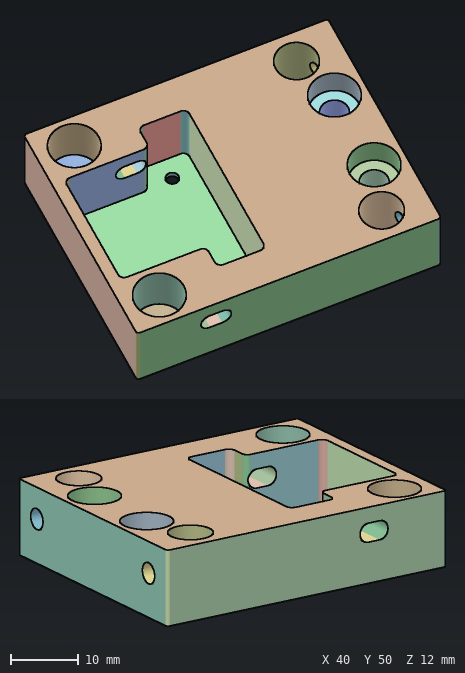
import cadquery as cq
import math

width = 40
length = 50
height = 12
corner_radius = 0.5

corner_hole_x = 15
through_diameter = 6.8
through_y = 17.5

cross_diameter = 3.3
cross_z = 7

screw_x = 7
screw_y = 20
screw_diameter = 4.5
counterbore_diameter = 8
counterbore_depth = 4.5

blind_diameter = 8
blind_y = -19
blind_depth = 8
drill_point_angle = 118

pocket_depth = 11
pocket_back_y = -1
pocket_step_y = -9
pocket_front_y = -23
pocket_wide = 28
pocket_narrow = 20
pocket_radius = 1
pin_x = 10.5
pin_y = -5
pin_diameter = 2.05

slot_length = 5
slot_height = 3
slot_y = -12
slot_z = 8


def mirrored(x, y):
    """Two places symmetric about the middle of the block width."""
    return [(-x, y), (x, y)]


def make_block():
    block = cq.Workplane("XY").box(width, length, height, centered=(True, True, False))
    return block.edges("|Z").fillet(corner_radius)


def through_holes(x, y, diameter):
    return cq.Workplane("XY").pushPoints(mirrored(x, y)).circle(diameter / 2).extrude(height)


def cross_holes():
    back_face = cq.Workplane("XZ", origin=(0, length / 2, 0))
    circles = back_face.pushPoints(mirrored(corner_hole_x, cross_z)).circle(cross_diameter / 2)
    return circles.extrude(length / 2 - through_y)


def counterbores():
    floor = cq.Workplane("XY").workplane(offset=height - counterbore_depth)
    circles = floor.pushPoints(mirrored(screw_x, screw_y)).circle(counterbore_diameter / 2)
    return circles.extrude(counterbore_depth)


def blind_hole(x, y):
    radius = blind_diameter / 2
    cone_depth = radius / math.tan(math.radians(drill_point_angle / 2))
    shoulder_z = height - blind_depth
    profile = (
        cq.Workplane("XZ")
        .moveTo(0, height)
        .lineTo(radius, height)
        .lineTo(radius, shoulder_z)
        .lineTo(0, shoulder_z - cone_depth)
        .close()
    )
    return profile.revolve(360, (0, 0, 0), (0, 1, 0)).translate((x, y, 0))


def pocket():
    wide = pocket_wide / 2
    narrow = pocket_narrow / 2
    outline = [
        (-wide, pocket_back_y),
        (wide, pocket_back_y),
        (wide, pocket_step_y),
        (narrow, pocket_step_y),
        (narrow, pocket_front_y),
        (-narrow, pocket_front_y),
        (-narrow, pocket_step_y),
        (-wide, pocket_step_y),
    ]
    floor = cq.Workplane("XY").workplane(offset=height - pocket_depth)
    solid = floor.polyline(outline).close().extrude(pocket_depth)
    return solid.edges("|Z").fillet(pocket_radius)


def side_slot():
    side = cq.Workplane("YZ").center(slot_y, slot_z)
    return side.slot2D(slot_length, slot_height).extrude(width / 2, both=True)


result = (
    make_block()
    .cut(through_holes(corner_hole_x, through_y, through_diameter))
    .cut(cross_holes())
    .cut(through_holes(screw_x, screw_y, screw_diameter))
    .cut(counterbores())
    .cut(pocket())
    .cut(through_holes(pin_x, pin_y, pin_diameter))
    .cut(side_slot())
)
for hole_x, hole_y in mirrored(corner_hole_x, blind_y):
    result = result.cut(blind_hole(hole_x, hole_y))